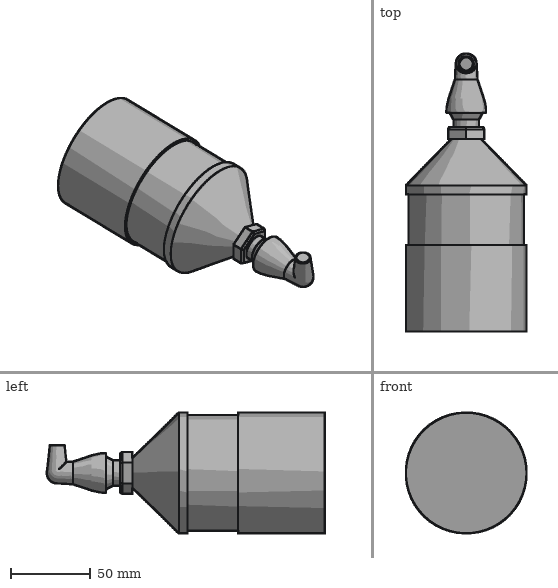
import cadquery as cq

total_length = 175.0
body_radius = 76.1 / 2
waist_radius = 73.0 / 2
base_length = 54.6
rim_start = 86.3
rim_end = 91.9
cone_end = 121.1
cone_tip_radius = 9.5

nut_across_corners = 26.5
nut_end = 128.8
nut_bevel_length = 1.5
nut_bevel_inset = 0.9

neck_radius = 16.3 / 2
neck_end = 133.4
bell_inner_radius = 10.9
bell_lip_front = 137.5
bell_lip_back = 138.5
bell_radius = 12.6
bell_shoulder = 146.5
bell_shoulder_radius = 11.2
bell_tip = 158.5
stem_radius = 7.2
stem_start = 159.6

elbow_radius = 6.7
elbow_y = total_length - elbow_radius
outlet_height = 17.7
outlet_radius = 4.7
outlet_edge_chamfer = 0.5


def make_body():
    """Stepped cylinder closed by a cone."""
    return (
        cq.Workplane("XY")
        .moveTo(0, 0)
        .lineTo(body_radius, 0)
        .lineTo(body_radius, base_length)
        .lineTo(waist_radius, base_length)
        .lineTo(waist_radius, rim_start)
        .lineTo(body_radius, rim_start)
        .lineTo(body_radius, rim_end)
        .lineTo(cone_tip_radius, cone_end)
        .lineTo(0, cone_end)
        .close()
        .revolve(360, (0, 0), (0, 1))
    )


def make_nut():
    """Hexagon with corners toward +Z and -Z, bevelled on its +Y face."""
    return (
        cq.Workplane("XZ", origin=(0, cone_end, 0))
        .transformed(rotate=(0, 0, 90))
        .polygon(6, nut_across_corners)
        .extrude(cone_end - nut_end)
        .faces(">Y")
        .chamfer(nut_bevel_length, nut_bevel_inset)
    )


def make_barb():
    """Neck, flared bell and tapering stem up to the elbow; the bell has a rounded lip."""
    lip_middle_radius = (bell_inner_radius + bell_radius) / 2
    return (
        cq.Workplane("XY")
        .moveTo(0, cone_end)
        .lineTo(0, elbow_y)
        .lineTo(elbow_radius, elbow_y)
        .lineTo(stem_radius, stem_start)
        .lineTo(stem_radius, bell_tip)
        .lineTo(bell_shoulder_radius, bell_shoulder)
        .tangentArcPoint((bell_radius, bell_lip_back), relative=False)
        .threePointArc((lip_middle_radius, bell_lip_front), (bell_inner_radius, bell_lip_back))
        .lineTo(neck_radius, neck_end)
        .lineTo(neck_radius, cone_end)
        .close()
        .revolve(360, (0, 0), (0, 1))
    )


def make_outlet():
    """Ball corner carrying a tapered upright tube with a bevelled end."""
    ball = cq.Workplane("XY").sphere(elbow_radius)
    tube = (
        cq.Workplane("XY")
        .circle(elbow_radius)
        .workplane(offset=outlet_height)
        .circle(outlet_radius)
        .loft()
        .faces(">Z")
        .chamfer(outlet_edge_chamfer)
    )
    return ball.union(tube).translate((0, elbow_y, 0))


result = make_body().union(make_nut()).union(make_barb()).union(make_outlet())